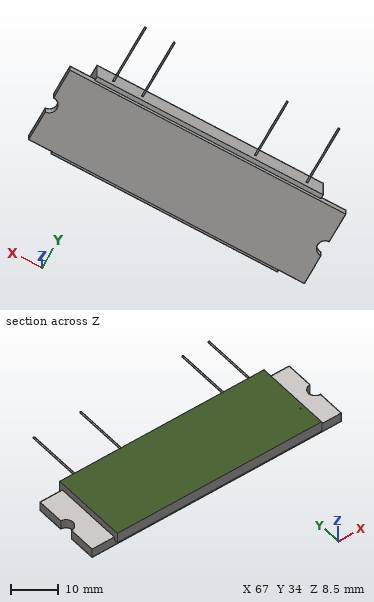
import cadquery as cq

flange_length = 67.0
flange_width = 18.0
flange_thickness = 2.5
notch_radius = 1.8

total_height = 8.5
body_length = 55.0
body_width = 20.0
body_bottom = 1.55

lead_diameter = 0.4
lead_length = 13.95
lead_height = 4.0
lead_row_start = -23.5
lead_pitches = [12.5, 27.5, 7.05]


def make_flange():
    """Flat plate with a half-round screw notch in the middle of each end."""
    plate = cq.Workplane("XY").box(
        flange_length, flange_width, flange_thickness, centered=(True, True, False)
    )
    notches = (
        cq.Workplane("XY")
        .pushPoints([(-flange_length / 2, 0), (flange_length / 2, 0)])
        .circle(notch_radius)
        .extrude(flange_thickness)
    )
    return plate.cut(notches)


def make_body():
    """Rectangular package from the skirt edge up to the top face."""
    return (
        cq.Workplane("XY")
        .workplane(offset=body_bottom)
        .box(body_length, body_width, total_height - body_bottom, centered=(True, True, False))
    )


def make_lead(x):
    """Straight round wire from the middle of the body out past its rear face."""
    return (
        cq.Workplane("XZ", origin=(x, 0, lead_height))
        .circle(lead_diameter / 2)
        .extrude(-(body_width / 2 + lead_length))
    )


result = make_flange().union(make_body())

lead_x = lead_row_start
result = result.union(make_lead(lead_x))
for pitch in lead_pitches:
    lead_x += pitch
    result = result.union(make_lead(lead_x))